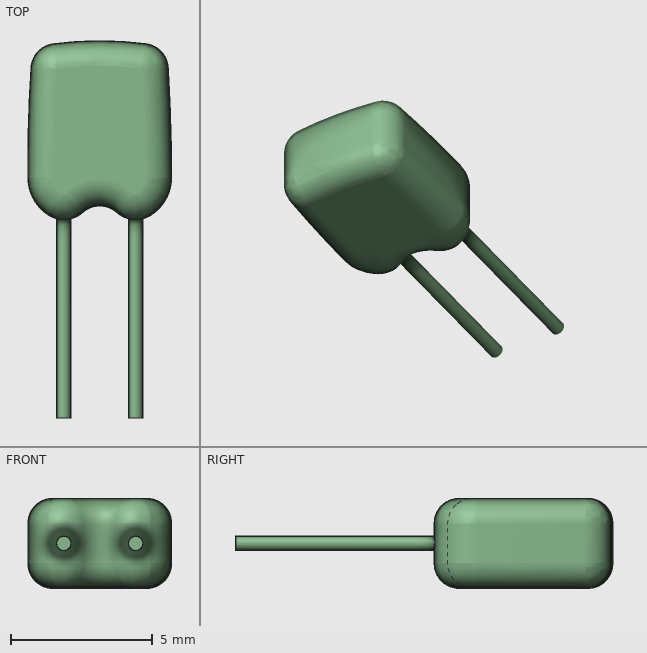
import cadquery as cq
import math


total_length = 13.33
body_length = 6.32
body_width = 5.08
body_thickness = 3.19
half_width = body_width / 2

lead_spacing = 2.54
lead_diameter = 0.5
lead_length = total_length - body_length
lead_x = lead_spacing / 2

lobe_radius = 1.0
notch_depth = 0.48
shoulder_y = 1.49
left_flat_end_y = 2.13
top_corner_x = 2.37
top_corner_y = 6.09
top_corner_radius = 0.92
edge_radius = 0.89

shoulder_rise = shoulder_y - lobe_radius
shoulder_inset = half_width - lead_x
shoulder_radius = (
    (shoulder_inset**2 + shoulder_rise**2 - lobe_radius**2) / (2 * (shoulder_inset - lobe_radius))
)
shoulder_x = half_width - shoulder_radius

lobe_notch_sum = lobe_radius + notch_depth
notch_center_y = (lobe_notch_sum**2 - lead_x**2 - lobe_radius**2) / (2 * notch_depth)


def lobe_point(angle):
    """Point on the +X lobe circle at an angle in radians."""
    return (lead_x + lobe_radius * math.cos(angle), lobe_radius + lobe_radius * math.sin(angle))


def mirrored(point):
    return (-point[0], point[1])


def make_profile():
    """Closed outline of the body with sharp top corners."""
    outer_angle = math.atan2(-shoulder_rise, lead_x - shoulder_x)
    inner_angle = math.atan2(notch_center_y - lobe_radius, -lead_x)
    lobe_outer = lobe_point(outer_angle)
    lobe_tip = (lead_x, 0)
    lobe_inner = lobe_point(inner_angle)
    shoulder_mid = (
        shoulder_x + shoulder_radius * math.cos(outer_angle / 2),
        shoulder_y + shoulder_radius * math.sin(outer_angle / 2),
    )
    shoulder = (half_width, shoulder_y)
    top_corner = (top_corner_x, top_corner_y)
    return (
        cq.Workplane("XY", origin=(0, 0, -body_thickness / 2))
        .moveTo(*mirrored(shoulder))
        .threePointArc(mirrored(shoulder_mid), mirrored(lobe_outer))
        .threePointArc(mirrored(lobe_tip), mirrored(lobe_inner))
        .threePointArc((0, notch_depth), lobe_inner)
        .threePointArc(lobe_tip, lobe_outer)
        .threePointArc(shoulder_mid, shoulder)
        .tangentArcPoint(top_corner, relative=False)
        .threePointArc((0, body_length), mirrored(top_corner))
        .threePointArc(left_side_middle(), (-half_width, left_flat_end_y))
        .close()
    )


def left_side_middle():
    """Middle of the -X side arc, which is vertical where its straight part begins."""
    inset = half_width - top_corner_x
    rise = top_corner_y - left_flat_end_y
    radius = (inset**2 + rise**2) / (2 * inset)
    half_angle = math.asin(rise / radius) / 2
    return (
        -half_width + radius * (1 - math.cos(half_angle)),
        left_flat_end_y + radius * math.sin(half_angle),
    )


def make_body():
    block = make_profile().extrude(body_thickness)
    corner_margin = 0.13
    top_corners = cq.selectors.BoxSelector(
        (-half_width, top_corner_y - corner_margin, -body_thickness),
        (half_width, top_corner_y + corner_margin, body_thickness),
    )
    block = block.edges("|Z").edges(top_corners).fillet(top_corner_radius)
    return block.faces("|Z").edges().fillet(edge_radius)


def make_lead(x, body):
    """Straight wire from the lobe tip toward -Y, cut to follow the lobe surface."""
    wire = (
        cq.Workplane("XZ", origin=(x, lobe_radius, 0))
        .circle(lead_diameter / 2)
        .extrude(lobe_radius + lead_length)
    )
    return wire.cut(body)


body = make_body()
leads = [make_lead(side * lead_x, body) for side in (-1, 1)]

result = cq.Compound.makeCompound([body.val(), *[lead.val() for lead in leads]])